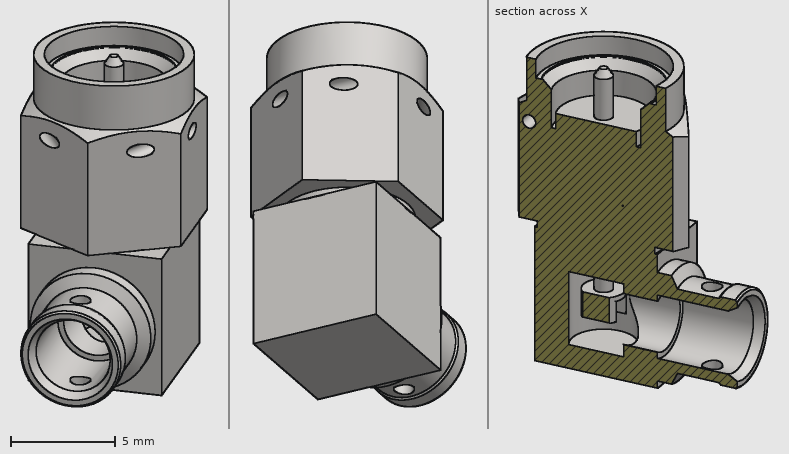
import cadquery as cq
import math


body_width = 6.67
body_height = 7.15
collar_radius = 3.3

nut_flats = 8.0
nut_bottom = 7.47
nut_top = 13.8
nut_bevel_angle = 30
sleeve_radius = 3.86
total_height = 16.1
wire_hole_radius = 0.34
wire_hole_offset = 3.62
wire_hole_z = 12.69

sleeve_bore_radius = 3.35
sleeve_bore_floor = 15.1
inner_lip_radius = 3.06
inner_lip_z = 15.18
socket_radius = 2.55
socket_cone_bottom = 14.67
socket_floor = 13.45
core_radius = 2.33
core_gap_depth = 0.8

port_z = 3.28
port_end = 7.65
flange_radius = 3.01
flange_end = 4.09
flange_bevel_end = 4.41
neck_radius = 2.4
rim_radius = 2.5
rim_ramp_start = 6.65
rim_start = 6.75
rim_chamfer = 0.1
port_bore_radius = 1.85
port_bore_end = body_width / 2
port_mouth_radius = 2.11
port_mouth_depth = 0.5
inner_bore_radius = 1.56
solder_hole_radius = 0.5
solder_hole_y = -5.88

cavity_radius = 1.67
cavity_bottom = 1.29
cavity_top = 5.15
pin_radius = 0.47
pin_tip_radius = 0.2
pin_top = 16.02
pin_tip_length = 0.4
fork_radius = 1.08
fork_bottom = 2.9
fork_top = 4.27
fork_slot_width = 1.01
fork_slot_top = 4.0


def cylinder(radius, bottom, top):
    """Round bar on the Z axis."""
    return cq.Workplane("XY").workplane(offset=bottom).circle(radius).extrude(top - bottom)


def revolve_on_z(points):
    """Turn a (radius, height) outline about the Z axis."""
    return cq.Workplane("XZ").polyline(points).close().revolve(360, (0, 0), (0, 1))


def revolve_on_port(points):
    """Turn a (radius, distance towards -Y) outline about the port axis."""
    turned = revolve_on_z(points)
    return turned.rotate((0, 0, 0), (1, 0, 0), 90).translate((0, 0, port_z))


def make_body():
    block = cq.Workplane("XY").rect(body_width, body_width).extrude(body_height)
    return block.union(cylinder(collar_radius, body_height, nut_bottom))


def make_nut():
    corner_radius = nut_flats / 2 / math.cos(math.radians(30))
    bevel_drop = (corner_radius - sleeve_radius) * math.tan(math.radians(nut_bevel_angle))
    nut = (
        cq.Workplane("XY")
        .workplane(offset=nut_bottom)
        .polygon(6, 2 * corner_radius)
        .extrude(nut_top - nut_bottom)
        .rotate((0, 0, 0), (0, 0, 1), 30)
    )
    bevel_envelope = revolve_on_z([
        (0, nut_bottom),
        (corner_radius, nut_bottom),
        (corner_radius, nut_top - bevel_drop),
        (sleeve_radius, nut_top),
        (0, nut_top),
    ])
    nut = nut.intersect(bevel_envelope)
    wire_hole = (
        cq.Workplane("YZ")
        .center(wire_hole_offset, wire_hole_z)
        .circle(wire_hole_radius)
        .extrude(nut_flats / 2, both=True)
    )
    for angle in (0, 120, 240):
        nut = nut.cut(wire_hole.rotate((0, 0, 0), (0, 0, 1), angle))
    return nut.union(cylinder(sleeve_radius, nut_top, total_height))


def make_socket():
    """Space inside the sleeve, with a raised lip, a conical lead-in and a gap around the core."""
    gap_floor = socket_floor - core_gap_depth
    return revolve_on_z([
        (0, socket_floor),
        (core_radius, socket_floor),
        (core_radius, gap_floor),
        (socket_radius, gap_floor),
        (socket_radius, socket_cone_bottom),
        (inner_lip_radius, inner_lip_z),
        (inner_lip_radius, sleeve_bore_floor),
        (sleeve_bore_radius, sleeve_bore_floor),
        (sleeve_bore_radius, total_height),
        (0, total_height),
    ])


def make_port():
    return revolve_on_port([
        (0, 0),
        (flange_radius, 0),
        (flange_radius, flange_end),
        (neck_radius, flange_bevel_end),
        (neck_radius, rim_ramp_start),
        (rim_radius, rim_start),
        (rim_radius, port_end - rim_chamfer),
        (rim_radius - rim_chamfer, port_end),
        (0, port_end),
    ])


def make_port_bore():
    return revolve_on_port([
        (0, 0),
        (inner_bore_radius, 0),
        (inner_bore_radius, port_bore_end),
        (port_bore_radius, port_bore_end),
        (port_bore_radius, port_end - port_mouth_depth),
        (port_mouth_radius, port_end),
        (0, port_end),
    ])


def make_contact():
    pin = revolve_on_z([
        (0, fork_slot_top),
        (pin_radius, fork_slot_top),
        (pin_radius, pin_top - pin_tip_length),
        (pin_tip_radius, pin_top),
        (0, pin_top),
    ])
    fork = cylinder(fork_radius, fork_bottom, fork_top)
    slot = (
        cq.Workplane("XY")
        .workplane(offset=fork_bottom)
        .rect(fork_slot_width, 2 * fork_radius)
        .extrude(fork_slot_top - fork_bottom)
    )
    return pin.union(fork.cut(slot))


solder_holes = cylinder(solder_hole_radius, 0, 2 * port_z).translate((0, solder_hole_y, 0))

result = (
    make_body()
    .union(make_nut())
    .union(make_port())
    .cut(make_socket())
    .cut(make_port_bore())
    .cut(cylinder(cavity_radius, cavity_bottom, cavity_top))
    .cut(solder_holes)
    .union(make_contact())
)